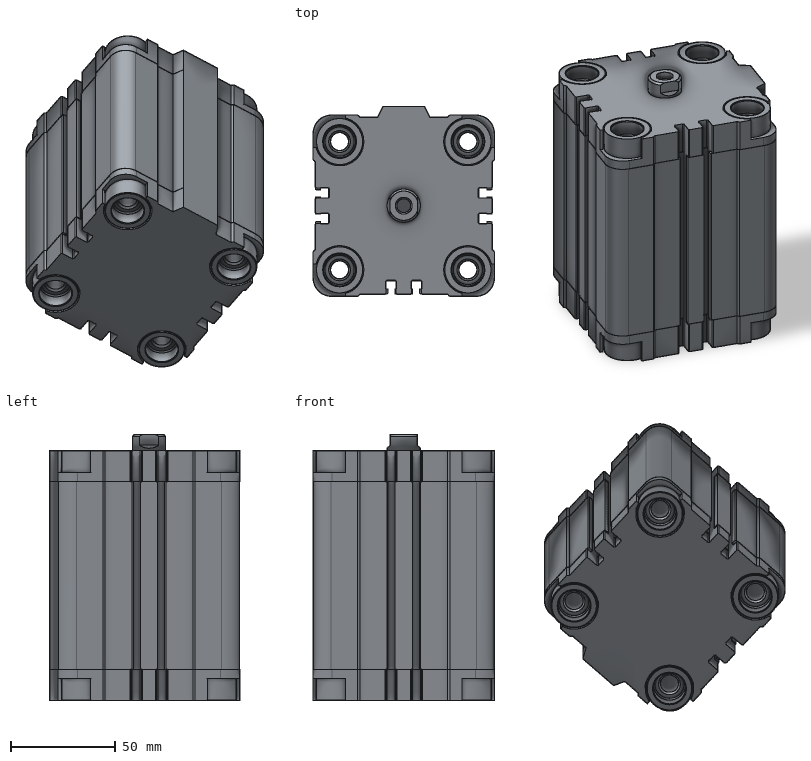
import cadquery as cq

total_height = 127.5
rod_protrusion = 7.8
housing_height = total_height - rod_protrusion
cap_height = 14.9

cap_side = 87.0
cap_half_side = cap_side / 2
barrel_inset = 0.1
barrel_half_side = cap_half_side - barrel_inset
barrel_corner_radius = 8.5
cap_corner_radius = 9.2
recess_depth = 1.0
recess_half_width = 22.0
cap_face = cap_half_side - recess_depth
barrel_face = barrel_half_side - recess_depth

rail_tip = 47.5
rail_tip_half_width = 10.0
rail_base_half_width = 12.5

slot_offset = 6.1
slot_width = 4.8
slot_inner_wall = slot_offset - slot_width / 2
slot_outer_wall = slot_offset + slot_width / 2
barrel_slot_depth = 6.2
cap_slot_depth = 6.9
cap_slot_chamfer = 0.5
lip_depth = 2.5
lip_inner_edge = 4.1
lip_outer_edge = 7.5
lip_chamfer = 0.5
slot_face_angles = (0, 90, -90)

boss_offset = 30.7
boss_diameter = 22.0
bottom_boss_chamfer = 0.4
pocket_diameter = 23.2
pocket_depth = 10.5
corner_cut_edge = 27.9
cup_diameter = 15.4
cup_depth = 7.6
cup_mouth_diameter = 16.2
cup_floor_diameter = 14.0
hole_diameter = 8.5
hole_mouth_diameter = 10.5

rod_diameter = 16.0
rod_tip_diameter = 14.0
flat_width = 13.0
flat_height = 5.2
rod_hole_diameter = 6.6
rod_counterbore_diameter = 8.0
rod_counterbore_depth = 3.5
rod_hole_depth = 12.8


def prism(points, height):
    return cq.Workplane("XY").polyline(points).close().extrude(height)


def body_blank(height, half_side, corner_radius):
    """Rounded square with a shallow recess along each face and the rail on +Y."""
    side = 2 * half_side
    face = half_side - recess_depth
    blank = cq.Workplane("XY").rect(side, side).extrude(height).edges("|Z").fillet(corner_radius)
    recess_floor = recess_half_width - recess_depth
    recess = prism(
        [
            (-recess_half_width, -half_side),
            (recess_half_width, -half_side),
            (recess_floor, -face),
            (-recess_floor, -face),
        ],
        height,
    )
    for quarter in range(4):
        blank = blank.cut(recess.rotate((0, 0, 0), (0, 0, 1), 90 * quarter))
    rail = prism(
        [
            (-rail_base_half_width, face),
            (rail_base_half_width, face),
            (rail_tip_half_width, rail_tip),
            (-rail_tip_half_width, rail_tip),
        ],
        height,
    )
    return blank.union(rail)


def cut_slot_pairs(blank, slot_points, height):
    """Cut a slot, drawn on the +X half of the -Y face, and its mirror image on each slotted face."""
    slot = prism(slot_points, height)
    pair = slot.union(slot.mirror("YZ"))
    for angle in slot_face_angles:
        blank = blank.cut(pair.rotate((0, 0, 0), (0, 0, 1), angle))
    return blank


def make_barrel():
    height = housing_height - 2 * cap_height
    slot_floor = -barrel_face + barrel_slot_depth
    lip_level = -barrel_face + lip_depth
    slot_points = [
        (lip_inner_edge, -barrel_face),
        (lip_inner_edge, lip_level),
        (slot_inner_wall, lip_level),
        (slot_inner_wall, slot_floor),
        (slot_outer_wall, slot_floor),
        (slot_outer_wall, lip_level),
        (lip_outer_edge, lip_level),
        (lip_outer_edge, -barrel_face + lip_chamfer),
        (lip_outer_edge + lip_chamfer, -barrel_face),
    ]
    barrel = cut_slot_pairs(body_blank(height, barrel_half_side, barrel_corner_radius), slot_points, height)
    return barrel.translate((0, 0, cap_height))


def boss_pocket(boss_chamfer):
    """Clearance around one boss: a ring that opens through the housing corner."""
    corner_size = cap_half_side - corner_cut_edge
    corner_centre = corner_cut_edge + corner_size / 2
    floor = cq.Workplane("XY", origin=(0, 0, cap_height - pocket_depth))
    ring = floor.center(boss_offset, boss_offset).circle(pocket_diameter / 2).extrude(pocket_depth)
    corner = floor.center(corner_centre, corner_centre).rect(corner_size, corner_size).extrude(pocket_depth)
    boss = floor.center(boss_offset, boss_offset).circle(boss_diameter / 2).extrude(pocket_depth)
    if boss_chamfer > 0:
        boss = boss.faces(">Z").chamfer(boss_chamfer)
    return ring.union(corner).cut(boss)


def screw_hole_end():
    """Radius and height points of one hole end, from the housing's end face inwards."""
    mouth_chamfer = (cup_mouth_diameter - cup_diameter) / 2
    floor_chamfer = (cup_diameter - cup_floor_diameter) / 2
    hole_chamfer = (hole_mouth_diameter - hole_diameter) / 2
    return [
        (0, 0),
        (cup_mouth_diameter / 2, 0),
        (cup_diameter / 2, mouth_chamfer),
        (cup_diameter / 2, cup_depth - floor_chamfer),
        (cup_floor_diameter / 2, cup_depth),
        (hole_mouth_diameter / 2, cup_depth),
        (hole_diameter / 2, cup_depth + hole_chamfer),
    ]


def screw_hole():
    """Through hole with the same chamfered cup at both ends."""
    lower_end = screw_hole_end()
    upper_end = [(radius, housing_height - height) for radius, height in reversed(lower_end)]
    hole = cq.Workplane("XZ").polyline(lower_end + upper_end).close().revolve(360, (0, 0, 0), (0, 1, 0))
    return hole.translate((boss_offset, boss_offset, 0))


def cut_at_corners(blank, cutter):
    """Cut the same shape, placed at the (+X, +Y) corner, from all four corners."""
    for quarter in range(4):
        blank = blank.cut(cutter.rotate((0, 0, 0), (0, 0, 1), 90 * quarter))
    return blank


def make_cap(boss_chamfer):
    """End cap with its outer face up, standing on Z = 0."""
    chamfer = cap_slot_chamfer
    slot_floor = -cap_face + cap_slot_depth
    slot_points = [
        (slot_inner_wall - chamfer, -cap_face),
        (slot_inner_wall, -cap_face + chamfer),
        (slot_inner_wall, slot_floor - chamfer),
        (slot_inner_wall + chamfer, slot_floor),
        (slot_outer_wall - chamfer, slot_floor),
        (slot_outer_wall, slot_floor - chamfer),
        (slot_outer_wall, -cap_face + chamfer),
        (slot_outer_wall + chamfer, -cap_face),
    ]
    cap = cut_slot_pairs(body_blank(cap_height, cap_half_side, cap_corner_radius), slot_points, cap_height)
    return cut_at_corners(cap, boss_pocket(boss_chamfer))


def make_housing():
    top_cap = make_cap(0).translate((0, 0, housing_height - cap_height))
    bottom_cap = make_cap(bottom_boss_chamfer).mirror("XY").translate((0, 0, cap_height))
    rod_bore = (
        cq.Workplane("XY", origin=(0, 0, housing_height - cap_height))
        .circle(rod_diameter / 2)
        .extrude(cap_height)
    )
    housing = make_barrel().union(top_cap).union(bottom_cap)
    return cut_at_corners(housing, screw_hole()).cut(rod_bore)


def make_rod():
    """Rod seated in the top cap, with a chamfered tip, two wrench flats and a blind hole."""
    rod_length = cap_height + rod_protrusion
    rod = (
        cq.Workplane("XY", origin=(0, 0, total_height - rod_length))
        .circle(rod_diameter / 2)
        .extrude(rod_length)
        .faces(">Z")
        .chamfer((rod_diameter - rod_tip_diameter) / 2)
    )
    run_out = (rod_diameter - flat_width) / 2
    flat_bottom = total_height - flat_height
    flat_profile = [
        (flat_width / 2, total_height),
        (flat_width / 2, flat_bottom),
        (flat_width / 2 + run_out, flat_bottom - run_out),
        (flat_width / 2 + run_out, total_height),
    ]
    flat = cq.Workplane("XZ").polyline(flat_profile).close().extrude(rod_diameter / 2, both=True)
    counterbore_floor = total_height - rod_counterbore_depth
    hole_countersink = (rod_counterbore_diameter - rod_hole_diameter) / 2
    hole_profile = [
        (0, total_height),
        (rod_counterbore_diameter / 2, total_height),
        (rod_counterbore_diameter / 2, counterbore_floor),
        (rod_hole_diameter / 2, counterbore_floor - hole_countersink),
        (rod_hole_diameter / 2, total_height - rod_hole_depth),
        (0, total_height - rod_hole_depth),
    ]
    hole = cq.Workplane("XZ").polyline(hole_profile).close().revolve(360, (0, 0, 0), (0, 1, 0))
    return rod.cut(flat).cut(flat.mirror("YZ")).cut(hole)


housing = make_housing()
piston_rod = make_rod()

result = cq.Compound.makeCompound([housing.val(), piston_rod.val()])